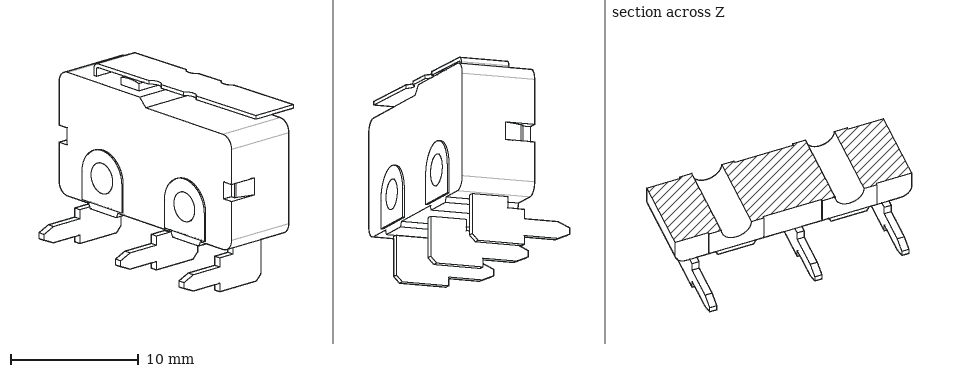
import cadquery as cq


BODY_LENGTH = 19.88
BODY_THICKNESS = 6.1
BODY_HEIGHT = 10.2
STEP_HEIGHT = 9.5
STEP_START_X = 9.3
STEP_RUN = BODY_HEIGHT - STEP_HEIGHT
CORNER_RADIUS = 1.0

PAD_THICKNESS = 0.15
PAD_RADIUS = 2.3
PAD_BOTTOM_Z = 0.2
HOLE_Z = 2.5
HOLE_SPACING = 9.5
LEFT_HOLE_X = 5.1
RIGHT_HOLE_X = LEFT_HOLE_X + HOLE_SPACING
LEFT_HOLE_DIAMETER = 2.5
RIGHT_HOLE_DIAMETER = 2.4
FOOT_TOP_WIDTH = 3.4
FOOT_BOTTOM_WIDTH = 3.0
FOOT_HEIGHT = 0.4

POCKET_BOTTOM_Z = 4.2
POCKET_HEIGHT = 1.4
POCKET_DEPTH = 0.9
HOOK_TIP_DEPTH = 0.5
HOOK_RAMP_START_Y = -0.6
HOOK_RAMP_END_Y = -2.1
HOOK_TIP_Y = -2.25

TERMINAL_THICKNESS = 0.6
TERMINAL_CENTERS_X = (1.83, 10.65, 17.95)
TERMINAL_BACK_Y = 1.6
TERMINAL_NECK_Y = -1.4
TERMINAL_SHOULDER_Y = -2.8
TERMINAL_SHOULDER_Z = -0.9
TERMINAL_BOTTOM_Z = -3.7
TERMINAL_CHAMFER = 0.5
PIN_TOP_Z = -1.65
PIN_BOTTOM_Z = -3.0
PIN_TIP_WIDTH = 0.5
PIN_TAPER_LENGTH = 1.0
PIN_TIP_Y = -6.6

LEVER_THICKNESS = 0.3
LEVER_WIDTH = 4.0
LEVER_CENTER_Y = -0.05
LEVER_FRONT_Y = LEVER_CENTER_Y - LEVER_WIDTH / 2
LEVER_BACK_Y = LEVER_CENTER_Y + LEVER_WIDTH / 2
LEVER_LEFT_X = 2.95
LEVER_END_X = 21.61
LEVER_BEND_RADIUS = 0.45
LEVER_BEND_Z = 11.26
LEVER_TIP_Z = 11.49
NOTCH_CENTERS_X = (9.97, 14.0)
NOTCH_RADIUS = 0.9
NOTCH_DEPTH = 0.35

PLUNGER_LEFT_X = 6.07
PLUNGER_LENGTH = 2.05
PLUNGER_TOP_Z = 10.93
PLUNGER_SIDE_Z = 10.8


def extrude_along_y(sketch, y_from, y_to):
    """Extrude a sketch drawn on the XZ plane between two Y positions."""
    return sketch.extrude(y_to - y_from).translate((0, y_to, 0))


def make_housing():
    half = BODY_THICKNESS / 2
    outline = (
        cq.Workplane("XZ")
        .moveTo(0, 0)
        .lineTo(BODY_LENGTH, 0)
        .lineTo(BODY_LENGTH, STEP_HEIGHT)
        .lineTo(STEP_START_X + STEP_RUN, STEP_HEIGHT)
        .lineTo(STEP_START_X, BODY_HEIGHT)
        .lineTo(0, BODY_HEIGHT)
        .close()
    )
    block = extrude_along_y(outline, -half, half)
    return block.edges("|Y and (<X or >X)").fillet(CORNER_RADIUS)


def make_pad(center_x):
    half = BODY_THICKNESS / 2 + PAD_THICKNESS
    outline = (
        cq.Workplane("XZ")
        .moveTo(center_x - PAD_RADIUS, PAD_BOTTOM_Z)
        .lineTo(center_x + PAD_RADIUS, PAD_BOTTOM_Z)
        .lineTo(center_x + PAD_RADIUS, HOLE_Z)
        .threePointArc((center_x, HOLE_Z + PAD_RADIUS), (center_x - PAD_RADIUS, HOLE_Z))
        .close()
    )
    return extrude_along_y(outline, -half, half)


def make_foot(center_x):
    half = BODY_THICKNESS / 2
    outline = cq.Workplane("XZ").polyline([
        (center_x - FOOT_TOP_WIDTH / 2, 0),
        (center_x - FOOT_BOTTOM_WIDTH / 2, -FOOT_HEIGHT),
        (center_x + FOOT_BOTTOM_WIDTH / 2, -FOOT_HEIGHT),
        (center_x + FOOT_TOP_WIDTH / 2, 0),
    ]).close()
    return extrude_along_y(outline, -half, half)


def make_hole(center_x, diameter):
    half = BODY_THICKNESS / 2 + PAD_THICKNESS
    circle = cq.Workplane("XZ").center(center_x, HOLE_Z).circle(diameter / 2)
    return extrude_along_y(circle, -half, half)


def make_left_pocket():
    """Pocket bounded by the ramped tip of the snap hook."""
    front_y = -BODY_THICKNESS / 2
    return (
        cq.Workplane("XY")
        .workplane(offset=POCKET_BOTTOM_Z)
        .polyline([
            (0, HOOK_RAMP_START_Y),
            (HOOK_TIP_DEPTH, HOOK_RAMP_END_Y),
            (HOOK_TIP_DEPTH, HOOK_TIP_Y),
            (POCKET_DEPTH, HOOK_TIP_Y),
            (POCKET_DEPTH, front_y),
            (0, front_y),
        ])
        .close()
        .extrude(POCKET_HEIGHT)
    )


def make_terminal(center_x):
    pin_middle_z = (PIN_TOP_Z + PIN_BOTTOM_Z) / 2
    taper_start_y = PIN_TIP_Y + PIN_TAPER_LENGTH
    return (
        cq.Workplane("YZ")
        .workplane(offset=center_x - TERMINAL_THICKNESS / 2)
        .polyline([
            (TERMINAL_BACK_Y, 0),
            (TERMINAL_BACK_Y, TERMINAL_BOTTOM_Z + TERMINAL_CHAMFER),
            (TERMINAL_BACK_Y - TERMINAL_CHAMFER, TERMINAL_BOTTOM_Z),
            (TERMINAL_SHOULDER_Y, TERMINAL_BOTTOM_Z),
            (TERMINAL_SHOULDER_Y, PIN_BOTTOM_Z),
            (taper_start_y, PIN_BOTTOM_Z),
            (PIN_TIP_Y, pin_middle_z - PIN_TIP_WIDTH / 2),
            (PIN_TIP_Y, pin_middle_z + PIN_TIP_WIDTH / 2),
            (taper_start_y, PIN_TOP_Z),
            (TERMINAL_SHOULDER_Y, PIN_TOP_Z),
            (TERMINAL_SHOULDER_Y, TERMINAL_SHOULDER_Z),
            (TERMINAL_NECK_Y, TERMINAL_SHOULDER_Z),
            (TERMINAL_NECK_Y, 0),
        ])
        .close()
        .extrude(TERMINAL_THICKNESS)
    )


def make_lever():
    inner_x = LEVER_LEFT_X + LEVER_THICKNESS
    outline = cq.Workplane("XZ").polyline([
        (LEVER_LEFT_X, BODY_HEIGHT),
        (LEVER_LEFT_X, LEVER_BEND_Z),
        (LEVER_END_X, LEVER_TIP_Z),
        (LEVER_END_X, LEVER_TIP_Z - LEVER_THICKNESS),
        (inner_x, LEVER_BEND_Z - LEVER_THICKNESS),
        (inner_x, BODY_HEIGHT),
    ]).close()
    strip = extrude_along_y(outline, LEVER_FRONT_Y, LEVER_BACK_Y)
    bend_corner = cq.selectors.NearestToPointSelector((LEVER_LEFT_X, LEVER_CENTER_Y, LEVER_BEND_Z))
    inner_corner = cq.selectors.NearestToPointSelector(
        (inner_x, LEVER_CENTER_Y, LEVER_BEND_Z - LEVER_THICKNESS)
    )
    strip = strip.edges(bend_corner).fillet(LEVER_BEND_RADIUS)
    strip = strip.edges(inner_corner).fillet(LEVER_BEND_RADIUS - LEVER_THICKNESS)
    notch_offset = NOTCH_RADIUS - NOTCH_DEPTH
    notch_centers = []
    for notch_x in NOTCH_CENTERS_X:
        notch_centers.append((notch_x, LEVER_BACK_Y + notch_offset))
        notch_centers.append((notch_x, LEVER_FRONT_Y - notch_offset))
    notches = (
        cq.Workplane("XY")
        .workplane(offset=BODY_HEIGHT)
        .pushPoints(notch_centers)
        .circle(NOTCH_RADIUS)
        .extrude(LEVER_TIP_Z - BODY_HEIGHT)
    )
    return strip.cut(notches)


def make_plunger():
    right_x = PLUNGER_LEFT_X + PLUNGER_LENGTH
    middle_x = PLUNGER_LEFT_X + PLUNGER_LENGTH / 2
    outline = (
        cq.Workplane("XZ")
        .moveTo(PLUNGER_LEFT_X, BODY_HEIGHT)
        .lineTo(right_x, BODY_HEIGHT)
        .lineTo(right_x, PLUNGER_SIDE_Z)
        .threePointArc((middle_x, PLUNGER_TOP_Z), (PLUNGER_LEFT_X, PLUNGER_SIDE_Z))
        .close()
    )
    return extrude_along_y(outline, LEVER_FRONT_Y, LEVER_BACK_Y)


result = make_housing()
for hole_x in (LEFT_HOLE_X, RIGHT_HOLE_X):
    result = result.union(make_pad(hole_x)).union(make_foot(hole_x))
result = result.cut(make_hole(LEFT_HOLE_X, LEFT_HOLE_DIAMETER))
result = result.cut(make_hole(RIGHT_HOLE_X, RIGHT_HOLE_DIAMETER))

left_pocket = make_left_pocket()
right_pocket = left_pocket.mirror("YZ").translate((BODY_LENGTH, 0, 0))
result = result.cut(left_pocket).cut(right_pocket)

for terminal_x in TERMINAL_CENTERS_X:
    result = result.union(make_terminal(terminal_x))
result = result.union(make_plunger()).union(make_lever())